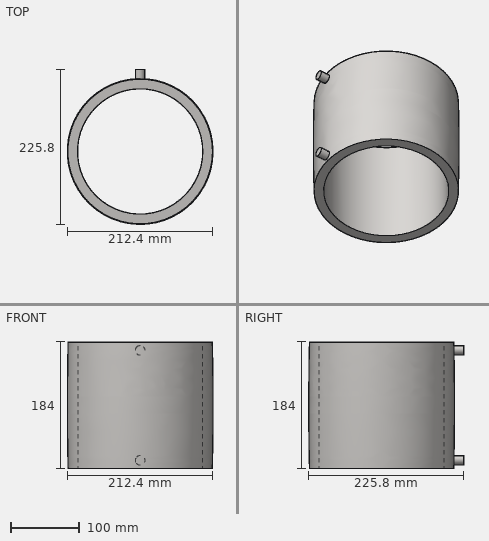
import cadquery as cq
import math

LENGTH = 184.0
BORE_DIAMETER = 182.0
BAND_DIAMETER = 212.4
END_DIAMETER = 210.4
BAND_WIDTH = 25.0

PIN_DIAMETER = 14.0
PIN_TIP_Y = 119.63
PIN_END_OFFSET = 12.0

bore_radius = BORE_DIAMETER / 2
band_radius = BAND_DIAMETER / 2
end_radius = END_DIAMETER / 2
half_length = LENGTH / 2
half_band = BAND_WIDTH / 2

flank_length = half_length - half_band
flank_drop = band_radius - end_radius
flank_arc_radius = (flank_length**2 + flank_drop**2) / (2 * flank_drop)
arc_center_radius = band_radius - flank_arc_radius
flank_mid_z = half_band + flank_length / 2
flank_mid_radius = arc_center_radius + math.sqrt(flank_arc_radius**2 - (flank_length / 2) ** 2)

pin_root_y = (bore_radius + end_radius) / 2
pin_z = half_length - PIN_END_OFFSET


def make_sleeve():
    """Revolved wall: a cylindrical middle band with a shallow convex flank to each end."""
    profile = (
        cq.Workplane("XZ")
        .moveTo(bore_radius, -half_length)
        .lineTo(end_radius, -half_length)
        .threePointArc((flank_mid_radius, -flank_mid_z), (band_radius, -half_band))
        .lineTo(band_radius, half_band)
        .threePointArc((flank_mid_radius, flank_mid_z), (end_radius, half_length))
        .lineTo(bore_radius, half_length)
        .close()
    )
    return profile.revolve(360, (0, 0, 0), (0, 1, 0))


def make_pin(z):
    """Radial pin along +Y, rooted inside the wall at the given height."""
    pin_length = PIN_TIP_Y - pin_root_y
    return (
        cq.Workplane("XZ", origin=(0, pin_root_y, z))
        .circle(PIN_DIAMETER / 2)
        .extrude(-pin_length)
    )


result = make_sleeve()
for z in (-pin_z, pin_z):
    result = result.union(make_pin(z))